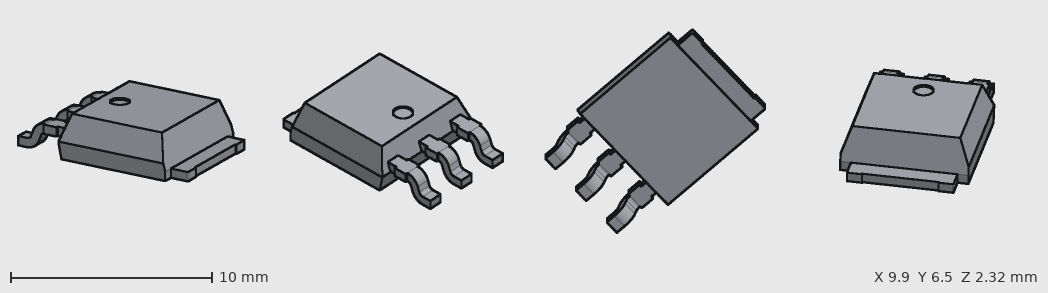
import cadquery as cq
import math

TOTAL_LENGTH = 9.9
METAL_THICKNESS = 0.495

BODY_WIDTH = 6.5
BODY_HEIGHT = 2.32
PARTING_HEIGHT = 0.91
PARTING_LAND = 0.03
BODY_LEAD_SIDE = 2.69
BODY_TAB_SIDE = 8.91
BOTTOM_LEAD_SIDE = 2.87
TOP_LEAD_SIDE = 3.19
TOP_TAB_SIDE = 8.415
TOP_WIDTH = 5.48

MARK_DIAMETER = 1.0
MARK_X = 4.3
MARK_DEPTH = 0.1

LEAD_COUNT = 3
LEAD_PITCH = 2.28
LEAD_WIDTH = 0.75
LEAD_TOP = 1.44
FOOT_LENGTH = 0.51
BEND_INNER_RADIUS = 0.25
BEND_ANGLE = math.radians(70)
SHOULDER_WIDTH = 1.0
SHOULDER_LENGTH = 0.75

TAB_WIDTH = 5.42
TAB_NOTCH_WIDTH = 3.89
TAB_NOTCH_DEPTH = 0.06
TAB_CORNER_RADIUS = 0.05


def centred_box(x_start, x_end, width, z_start, z_end):
    """Box symmetric about the XZ plane."""
    return cq.Workplane("XY").box(
        x_end - x_start, width, z_end - z_start, centered=(False, True, False)
    ).translate((x_start, 0, z_start))


def make_body():
    """Moulded body: its lengthwise and crosswise outlines intersected, with the recess cut."""
    lengthwise = (
        cq.Workplane("XZ")
        .moveTo(BOTTOM_LEAD_SIDE, 0)
        .lineTo(BODY_TAB_SIDE, 0)
        .lineTo(BODY_TAB_SIDE, METAL_THICKNESS)
        .lineTo(TOP_TAB_SIDE, BODY_HEIGHT)
        .lineTo(TOP_LEAD_SIDE, BODY_HEIGHT)
        .lineTo(BODY_LEAD_SIDE, PARTING_HEIGHT)
        .lineTo(BODY_LEAD_SIDE, PARTING_HEIGHT - PARTING_LAND)
        .close()
        .extrude(BODY_WIDTH / 2, both=True)
    )
    crosswise = (
        cq.Workplane("YZ")
        .moveTo(-BODY_WIDTH / 2, 0)
        .lineTo(BODY_WIDTH / 2, 0)
        .lineTo(BODY_WIDTH / 2, PARTING_HEIGHT)
        .lineTo(TOP_WIDTH / 2, BODY_HEIGHT)
        .lineTo(-TOP_WIDTH / 2, BODY_HEIGHT)
        .lineTo(-BODY_WIDTH / 2, PARTING_HEIGHT)
        .close()
        .extrude(TOTAL_LENGTH)
    )
    mark = (
        cq.Workplane("XY", origin=(MARK_X, 0, BODY_HEIGHT - MARK_DEPTH))
        .circle(MARK_DIAMETER / 2)
        .extrude(MARK_DEPTH)
    )
    return lengthwise.intersect(crosswise).cut(mark)


def make_lead(body, y):
    """Lead centred at y: foot, S-bend, wide shoulder and neck ending flush on the body's sloped face."""
    outer_radius = BEND_INNER_RADIUS + METAL_THICKNESS
    lead_bottom = LEAD_TOP - METAL_THICKNESS
    arcs_rise = (BEND_INNER_RADIUS + outer_radius) * (1 - math.cos(BEND_ANGLE))
    arcs_run = (BEND_INNER_RADIUS + outer_radius) * math.sin(BEND_ANGLE)
    slope_run = (lead_bottom - arcs_rise) / math.tan(BEND_ANGLE)
    bend_end = FOOT_LENGTH + arcs_run + slope_run

    lower_centre = (FOOT_LENGTH, outer_radius)
    upper_centre = (bend_end, LEAD_TOP - outer_radius)

    def lower_bend(radius, angle):
        return (lower_centre[0] + radius * math.sin(angle), lower_centre[1] - radius * math.cos(angle))

    def upper_bend(radius, angle):
        return (upper_centre[0] - radius * math.sin(angle), upper_centre[1] + radius * math.cos(angle))

    half_angle = BEND_ANGLE / 2
    strip = (
        cq.Workplane("XZ")
        .moveTo(0, 0)
        .lineTo(FOOT_LENGTH, 0)
        .threePointArc(lower_bend(outer_radius, half_angle), lower_bend(outer_radius, BEND_ANGLE))
        .lineTo(*upper_bend(BEND_INNER_RADIUS, BEND_ANGLE))
        .threePointArc(upper_bend(BEND_INNER_RADIUS, half_angle), upper_bend(BEND_INNER_RADIUS, 0))
        .lineTo(TOP_LEAD_SIDE, lead_bottom)
        .lineTo(TOP_LEAD_SIDE, LEAD_TOP)
        .lineTo(bend_end, LEAD_TOP)
        .threePointArc(upper_bend(outer_radius, half_angle), upper_bend(outer_radius, BEND_ANGLE))
        .lineTo(*lower_bend(BEND_INNER_RADIUS, BEND_ANGLE))
        .threePointArc(lower_bend(BEND_INNER_RADIUS, half_angle), lower_bend(BEND_INNER_RADIUS, 0))
        .lineTo(0, METAL_THICKNESS)
        .close()
        .extrude(LEAD_WIDTH / 2, both=True)
    )
    shoulder = centred_box(bend_end, bend_end + SHOULDER_LENGTH, SHOULDER_WIDTH, lead_bottom, LEAD_TOP)
    return strip.union(shoulder).translate((0, y, 0)).cut(body)


def make_tab():
    """Flat tab against the body's end face, with rounded corners and a shallow notch in its free edge."""
    plate = centred_box(BODY_TAB_SIDE, TOTAL_LENGTH, TAB_WIDTH, 0, METAL_THICKNESS)
    plate = plate.edges("|Z and >X").fillet(TAB_CORNER_RADIUS)
    notch = centred_box(
        TOTAL_LENGTH - TAB_NOTCH_DEPTH, TOTAL_LENGTH, TAB_NOTCH_WIDTH, 0, METAL_THICKNESS
    )
    return plate.cut(notch)


body = make_body()
tab = make_tab()
leads = []
for index in range(LEAD_COUNT):
    lead_y = (index - (LEAD_COUNT - 1) / 2) * LEAD_PITCH
    leads.append(make_lead(body, lead_y))

result = cq.Compound.makeCompound([body.val(), tab.val(), *[lead.val() for lead in leads]])